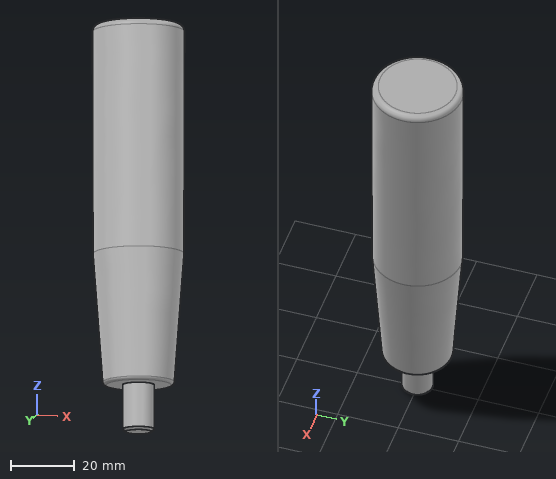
import cadquery as cq

total_length = 130
grip_diameter = 29.0
taper_top_diameter = 28.7
grip_end_diameter = 22.5
stud_diameter = 10.0
stud_tip_diameter = 8.3

stud_length = 15.0
taper_length = 42.0

top_fillet = 2.1
grip_end_fillet = 1.0

grip_end_z = stud_length
taper_top_z = grip_end_z + taper_length
stud_chamfer = (stud_diameter - stud_tip_diameter) / 2


def make_grip():
    """Nearly cylindrical grip, widest at the top, with a tapered lower part and rounded ends."""
    profile = (
        cq.Workplane("XZ")
        .moveTo(0, grip_end_z)
        .lineTo(grip_end_diameter / 2, grip_end_z)
        .lineTo(taper_top_diameter / 2, taper_top_z)
        .lineTo(grip_diameter / 2, total_length)
        .lineTo(0, total_length)
        .close()
    )
    grip = profile.revolve(360, (0, 0, 0), (0, 1, 0))
    grip = grip.faces(">Z").edges().fillet(top_fillet)
    return grip.faces("<Z").edges().fillet(grip_end_fillet)


def make_stud():
    """Plain stud with a chamfered tip."""
    stud = cq.Workplane("XY").circle(stud_diameter / 2).extrude(stud_length)
    return stud.faces("<Z").chamfer(stud_chamfer)


result = make_grip().union(make_stud())